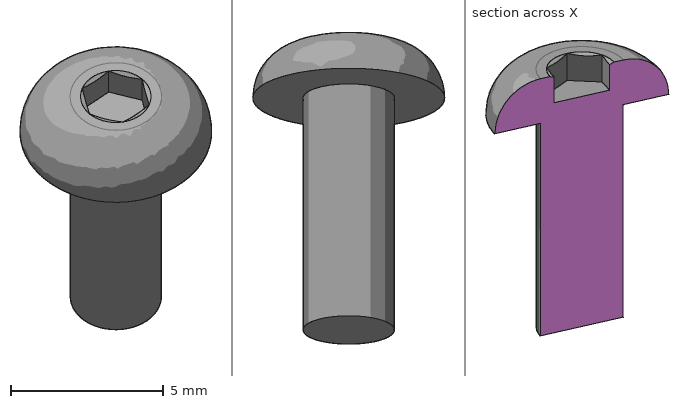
import cadquery as cq
import math

shank_diameter = 3.0
shank_length = 8.0
head_diameter = 6.3
head_height = 1.7
head_flat_diameter = 3.0

socket_across_flats = 2.0
socket_across_corners = socket_across_flats / math.cos(math.radians(30))
socket_depth = 1.02
socket_lead_in_angle = 22.5

shank_radius = shank_diameter / 2
head_radius = head_diameter / 2
head_flat_radius = head_flat_diameter / 2


def make_body():
    """Shank and domed head, with the underside of the head at Z = 0."""
    dome_width = head_radius - head_flat_radius
    profile = (
        cq.Workplane("XZ")
        .moveTo(0, -shank_length)
        .lineTo(shank_radius, -shank_length)
        .lineTo(shank_radius, 0)
        .lineTo(head_radius, 0)
        .ellipseArc(dome_width, head_height, 0, 90, startAtCurrent=True)
        .lineTo(0, head_height)
        .close()
    )
    return profile.revolve(360, (0, 0, 0), (0, 1, 0))


def make_socket():
    """Blind hexagon with two corners on the X axis."""
    return (
        cq.Workplane("XY")
        .workplane(offset=head_height - socket_depth)
        .polygon(6, socket_across_corners)
        .extrude(socket_depth)
    )


def make_lead_in():
    """Cone that opens the socket to its full corner width at the top face."""
    mouth_radius = socket_across_corners / 2
    cone_depth = mouth_radius * math.tan(math.radians(socket_lead_in_angle))
    return (
        cq.Workplane("XZ")
        .moveTo(0, head_height)
        .lineTo(mouth_radius, head_height)
        .lineTo(0, head_height - cone_depth)
        .close()
        .revolve(360, (0, 0, 0), (0, 1, 0))
    )


result = make_body().cut(make_socket()).cut(make_lead_in())